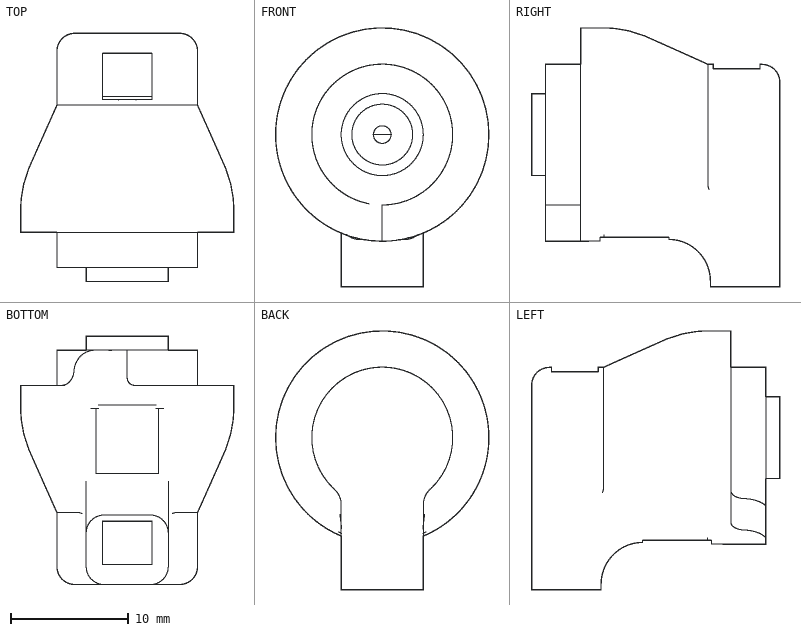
import cadquery as cq
import math

NOSE_FRONT = -4.2
BOSS_FRONT = -3.0
FLANGE_BACK = 2.0
SHOULDER_BACK = 5.45
CONE_BACK = 10.85
BODY_BACK = 17.0

FLANGE_R = 9.1
SHOULDER_R = 8.42
BARREL_R = 6.01
NOSE_R = 7.0 / 2
BORE_R = 5.2 / 2
WIRE_HOLE_R = 1.5 / 2
BORE_BACK = 8.85

FOOT_HALF_WIDTH = NOSE_R
FOOT_BOTTOM = -13.0
FOOT_FRONT = 11.05
FOOT_BEND_R = 3.54
FOOT_BEND_TOP = -8.95
EDGE_R = 1.55
SEAM_R = 1.77
UNDERSIDE = -8.77
RELIEF_FRONT = 1.65
RELIEF_BACK = 7.51

WINDOW_WIDTH = 4.2
WINDOW_BACK = 15.27
WINDOW_FRONT = 11.32
LOWER_WINDOW_FRONT = 11.6

TOOTH_ANGLE = 30.0
RAMP_START = -1.25
RAMP_MID = 0.0
RAMP_END = 1.97
TOOTH_FILLET = 0.65

MARGIN = 0.22


def y_cylinder(radius, front, back):
    """Solid cylinder on the main axis."""
    return cq.Workplane("XZ", origin=(0, front, 0)).circle(radius).extrude(front - back)


def box_between(x_range, y_range, z_range):
    """Axis-aligned box given by its limits."""
    (x0, x1), (y0, y1), (z0, z1) = x_range, y_range, z_range
    return cq.Workplane("XY").box(x1 - x0, y1 - y0, z1 - z0, centered=False).translate((x0, y0, z0))


def make_body():
    """Bell-shaped body whose shoulder arc is tangent to the flange rim."""
    run = SHOULDER_BACK - FLANGE_BACK
    drop = FLANGE_R - SHOULDER_R
    arc_r = (run**2 + drop**2) / (2 * drop)
    half_run = run / 2
    arc_mid = (FLANGE_R - arc_r + math.sqrt(arc_r**2 - half_run**2), FLANGE_BACK + half_run)
    return (
        cq.Workplane("XY")
        .moveTo(0, 0)
        .lineTo(FLANGE_R, 0)
        .lineTo(FLANGE_R, FLANGE_BACK)
        .threePointArc(arc_mid, (SHOULDER_R, SHOULDER_BACK))
        .lineTo(BARREL_R, CONE_BACK)
        .lineTo(BARREL_R, BODY_BACK)
        .lineTo(0, BODY_BACK)
        .close()
        .revolve(360, (0, 0, 0), (0, 1, 0))
    )


def make_foot():
    """Foot with a concave bend that runs forward under the bell."""
    bend_y = FOOT_FRONT - FOOT_BEND_R
    bend_z = FOOT_BEND_TOP - FOOT_BEND_R
    diagonal = FOOT_BEND_R * math.sqrt(0.5)
    foot = (
        cq.Workplane("YZ", origin=(-FOOT_HALF_WIDTH, 0, 0))
        .moveTo(BODY_BACK, 0)
        .lineTo(BODY_BACK, FOOT_BOTTOM)
        .lineTo(FOOT_FRONT, FOOT_BOTTOM)
        .lineTo(FOOT_FRONT, bend_z)
        .threePointArc((bend_y + diagonal, bend_z + diagonal), (bend_y, FOOT_BEND_TOP))
        .lineTo(FLANGE_BACK, FOOT_BEND_TOP)
        .lineTo(FLANGE_BACK, 0)
        .close()
        .extrude(2 * FOOT_HALF_WIDTH)
    )
    front_edges = cq.selectors.BoxSelector(
        (-FLANGE_R, FLANGE_BACK + MARGIN, FOOT_BOTTOM + MARGIN),
        (FLANGE_R, FOOT_FRONT + MARGIN, UNDERSIDE + MARGIN),
    )
    return foot.faces("<X or >X").edges(front_edges).fillet(EDGE_R)


def make_shell():
    """Body and foot blended together, with a rounded back rim."""
    shell = make_body().union(make_foot())
    seams = cq.selectors.BoxSelector(
        (-FOOT_HALF_WIDTH - MARGIN, SHOULDER_BACK + MARGIN, -SHOULDER_R),
        (FOOT_HALF_WIDTH + MARGIN, BODY_BACK - MARGIN, -FOOT_HALF_WIDTH),
    )
    shell = shell.edges(seams).fillet(SEAM_R)
    rim_region = cq.selectors.BoxSelector(
        (-FLANGE_R, BODY_BACK - MARGIN, FOOT_BOTTOM + MARGIN),
        (FLANGE_R, BODY_BACK + MARGIN, FLANGE_R),
    )
    return shell.faces(">Y").edges(rim_region).fillet(EDGE_R)


def make_tooth():
    """Stop tooth: an S-shaped ramp on one side, a filleted wall on the other."""
    run = RAMP_END - RAMP_START
    height = -BOSS_FRONT
    sweep = 2 * math.atan(height / run)
    lower_r = (RAMP_MID - RAMP_START) / math.sin(sweep)
    upper_r = (RAMP_END - RAMP_MID) / math.sin(sweep)
    mid_y = -lower_r * (1 - math.cos(sweep))
    half_sin = math.sin(sweep / 2)
    half_rise = 1 - math.cos(sweep / 2)
    lower_arc_mid = (RAMP_START + lower_r * half_sin, -lower_r * half_rise)
    upper_arc_mid = (RAMP_END - upper_r * half_sin, BOSS_FRONT + upper_r * half_rise)
    ramp = (
        cq.Workplane("XY")
        .moveTo(RAMP_START, 0)
        .threePointArc(lower_arc_mid, (RAMP_MID, mid_y))
        .threePointArc(upper_arc_mid, (RAMP_END, BOSS_FRONT))
        .lineTo(FLANGE_R, BOSS_FRONT)
        .lineTo(FLANGE_R, 0)
        .close()
        .extrude(-FLANGE_R)
        .rotate((0, 0, 0), (0, 1, 0), TOOTH_ANGLE)
    )
    diagonal = TOOTH_FILLET * (1 - math.sqrt(0.5))
    wall = (
        cq.Workplane("XY")
        .moveTo(-FLANGE_R, 0)
        .lineTo(TOOTH_FILLET, 0)
        .threePointArc((diagonal, -diagonal), (0, -TOOTH_FILLET))
        .lineTo(0, BOSS_FRONT)
        .lineTo(-FLANGE_R, BOSS_FRONT)
        .close()
        .extrude(-FLANGE_R)
    )
    return y_cylinder(FLANGE_R, BOSS_FRONT, 0).intersect(ramp).intersect(wall)


def make_window():
    """Through window; its front wall steps back below the axis."""
    half = WINDOW_WIDTH / 2
    upper = box_between((-half, half), (WINDOW_FRONT, WINDOW_BACK), (0, FLANGE_R))
    lower = box_between((-half, half), (LOWER_WINDOW_FRONT, WINDOW_BACK), (FOOT_BOTTOM, 0))
    return upper.union(lower)


def make_wire_hole():
    """Hole from bore to window; its lower half ends on a rounded ramp."""
    ramp_front = WINDOW_FRONT - WIRE_HOLE_R
    diagonal = WIRE_HOLE_R * math.sqrt(0.5)
    ramp = (
        cq.Workplane("YZ", origin=(-WIRE_HOLE_R, 0, 0))
        .moveTo(ramp_front, -WIRE_HOLE_R)
        .threePointArc(
            (ramp_front + diagonal, -diagonal),
            (WINDOW_FRONT, 0),
        )
        .lineTo(WINDOW_BACK, 0)
        .lineTo(WINDOW_BACK, -WIRE_HOLE_R)
        .close()
        .extrude(2 * WIRE_HOLE_R)
    )
    return y_cylinder(WIRE_HOLE_R, BORE_BACK, WINDOW_FRONT + MARGIN).cut(ramp)


relief = box_between((-FLANGE_R, FLANGE_R), (RELIEF_FRONT, RELIEF_BACK), (-FLANGE_R, UNDERSIDE))

result = (
    make_shell()
    .cut(relief)
    .union(y_cylinder(BARREL_R, BOSS_FRONT, 0))
    .union(y_cylinder(NOSE_R, NOSE_FRONT, BOSS_FRONT))
    .union(make_tooth())
    .cut(y_cylinder(BORE_R, NOSE_FRONT, BORE_BACK))
    .cut(make_wire_hole())
    .cut(make_window())
)